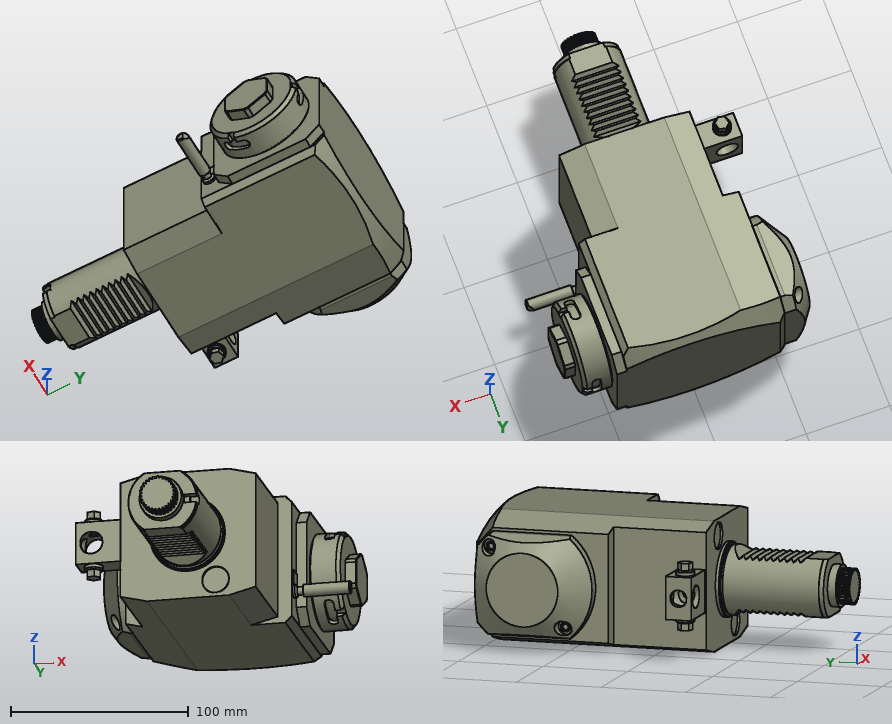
import cadquery as cq
import math


HEIGHT = 75.0
HALF_HEIGHT = HEIGHT / 2
CREST_HALF_WIDTH = 23.8
NECK_HALF_WIDTH = 39.0
NECK_HALF_EDGE = 33.6
SIDE_SLOPE = (HALF_HEIGHT - NECK_HALF_EDGE) / (NECK_HALF_WIDTH - CREST_HALF_WIDTH)
HEAD_LEFT = -48.7
HEAD_RIGHT = 47.2
HEAD_RIGHT_CHAMFER = 3.8
HEAD_FRONT = 54.5
HEAD_BACK = 133.5
BACK_CORNER_CHAMFER = 4.0
BACK_CONE_X = 9.6
BACK_CONE_RADIUS = 127.5
BACK_BEVEL = 3.8
PLUG_X = 15.9
PLUG_Z = 27.5
PLUG_RADIUS = 7.7
PLUG_DEPTH = 1.3

SPINDLE_Y = 99.7
CAP_LEFT = -67.0
CAP_RADIUS = 37.6
CAP_FACE_RADIUS = 21.1
CAP_CONE_START = -55.4
CAP_BACK = 129.5
CAP_HALF_HEIGHT = 29.5
CAP_SLOPE_START = -51.5
CAP_CORNER_CHAMFER = 7.3
CAP_SCREW_OFFSET = 22.0
CAP_SCREW_HOLE_RADIUS = 4.4
CAP_SCREW_HOLE_FLOOR = -54.3
CAP_SCREW_HEAD_RADIUS = 2.7
CAP_SCREW_HEAD_HEIGHT = 1.7
CAP_SOCKET_WIDTH = 4.2

PLATE_SIZE = 67.7
PLATE_RIGHT = 53.0
PLATE_CHAMFER = 8.8
NUT_GAP = 0.6
NUT_RADIUS = 27.5
NUT_GAP_RADIUS = 26.5
NUT_RIGHT = 70.6
NUT_CHAMFER = 2.0
NUT_SLOT_COUNT = 3
NUT_SLOT_FIRST_ANGLE = 29
NUT_SLOT_HALF_ANGLE = 19
NUT_SLOT_X = 62.7
NUT_SLOT_WIDTH = 5.5
NUT_SLOT_DEPTH = 2.5
NUT_NOTCH_WIDTH = 4.4
HEX_RIGHT = 77.1
HEX_ACROSS_FLATS = 27.4
HEX_CORNER_RADIUS = 15.0
HEX_CHAMFER = 0.5

PIN_Y = 60.0
PIN_Z = -17.5
PIN_RIGHT = 80.3
PIN_RADIUS = 3.5
PIN_NECK_RADIUS = 2.3
PIN_BASE_RADIUS = 3.8
PIN_BASE_END = 48.5
PIN_CONE_END = 49.5
PIN_NECK_END = 53.0
PIN_TIP_CHAMFER = 0.6
PIN_TIP_CUT = 2.7
PIN_TAB_THICKNESS = 0.8
PIN_TAB_TOP = -6.3
PIN_TAB_BOTTOM = -14.0
PIN_TAB_LENGTH = 9.6

COLLAR_RADIUS = 21.5
COLLAR_LENGTH = 2.5
COLLAR_CHAMFER = 0.6
RELIEF_RADIUS = 19.5
RELIEF_END = -3.8
SHANK_RADIUS = 20.0
LIP_START = -60.5
LIP_RADIUS = 19.6
SHANK_END = -63.1
BOSS_RADIUS = 12.1
BOSS_END = -68.0
SPLINE_RADIUS = 10.2
SPLINE_ROOT_RADIUS = 9.2
SPLINE_COUNT = 28
SPLINE_TIP_SHARE = 0.4
SPLINE_ROOT_SHARE = 0.8
TOTAL_LENGTH = 209.0
SPLINE_END = HEAD_BACK - TOTAL_LENGTH
SHANK_FLAT_Z = 16.7
TOOTH_ROOT_Z = 14.5
RACK_LENGTH = 36.2
TOOTH_COUNT = 10
TOOTH_PITCH = RACK_LENGTH / (TOOTH_COUNT - 1)
TOOTH_FIRST_Y = -11.5
KEYWAY_WIDTH = 4.8
KEYWAY_DEPTH = 5.2
KEY_WIDTH = 3.5
KEY_OUTER_X = 15.3
KEY_HEIGHT = 3.1

BLOCK_LEFT = -65.0
BLOCK_FRONT = 0.6
BLOCK_BACK = 15.7
BLOCK_HALF_HEIGHT = 12.3
BLOCK_HOLE_X = -56.0
BLOCK_HOLE_RADIUS = 6.5
SIDE_HOLE_RADIUS = 4.8
SIDE_HOLE_FLOOR = -41.8
SIDE_DRILL_RADIUS = 1.9
BOLT_Y = 7.0
BOLT_COLLAR_RADIUS = 5.2
BOLT_COLLAR_HEIGHT = 2.7
BOLT_COLLAR_CHAMFER = 0.8
BOLT_TOP = 19.2
BOLT_HEX_DIAMETER = 8.4
BOLT_HEX_ANGLE = 45
BOLT_TIP_RADIUS = 2.5
BOLT_TIP_Z = 7.0

MARGIN = 10.5


def box(x0, x1, y0, y1, z0, z1):
    """Axis-aligned box between the given limits."""
    return cq.Workplane("XY").box(x1 - x0, y1 - y0, z1 - z0, centered=False).translate((x0, y0, z0))


def prism_along_y(points, y0, y1):
    """Extrude an (x, z) outline from y0 to y1."""
    return cq.Workplane("XZ", origin=(0, y0, 0)).polyline(points).close().extrude(y0 - y1)


def prism_along_x(points, x0, x1):
    """Extrude a (y, z) outline from x0 to x1."""
    return cq.Workplane("YZ", origin=(x0, 0, 0)).polyline(points).close().extrude(x1 - x0)


def cylinder_along_x(radius, x0, x1, y, z):
    return cq.Workplane("YZ", origin=(x0, y, z)).circle(radius).extrude(x1 - x0)


def cylinder_along_y(radius, y0, y1, x=0, z=0):
    return cq.Workplane("XZ", origin=(x, y0, z)).circle(radius).extrude(y0 - y1)


def turned_along_x(profile, y, z):
    """Revolve an (x, radius) profile about the line along X through (y, z)."""
    outline = [(profile[0][0], 0)] + profile + [(profile[-1][0], 0)]
    solid = cq.Workplane("XY").polyline(outline).close().revolve(360, (0, 0, 0), (1, 0, 0))
    return solid.translate((0, y, z))


def with_mirror(points):
    """Close an upper outline with its mirror image below the first coordinate axis."""
    return points + [(a, -b) for a, b in reversed(points)]


def both_z_sides(solid):
    """The solid together with its mirror image below Z = 0."""
    return solid.union(solid.mirror("XY"))


def make_housing():
    neck_half = [
        (-NECK_HALF_WIDTH, NECK_HALF_EDGE),
        (-CREST_HALF_WIDTH, HALF_HEIGHT),
        (CREST_HALF_WIDTH, HALF_HEIGHT),
        (NECK_HALF_WIDTH, NECK_HALF_EDGE),
    ]
    left_half_edge = HALF_HEIGHT - SIDE_SLOPE * (-CREST_HALF_WIDTH - HEAD_LEFT)
    head_half = [
        (HEAD_LEFT, left_half_edge),
        (-CREST_HALF_WIDTH, HALF_HEIGHT),
        (HEAD_RIGHT - HEAD_RIGHT_CHAMFER, HALF_HEIGHT),
        (HEAD_RIGHT, HALF_HEIGHT - HEAD_RIGHT_CHAMFER),
    ]
    neck = prism_along_y(with_mirror(neck_half), 0, HEAD_FRONT)
    head = prism_along_y(with_mirror(head_half), HEAD_FRONT, HEAD_BACK)
    head = head.edges("|Z").edges("<X and >Y").chamfer(BACK_CORNER_CHAMFER)
    for side in (1, -1):
        head = head.intersect(make_back_bevel(side))
    housing = neck.union(head)
    for side in (1, -1):
        plug = cylinder_along_y(PLUG_RADIUS, 0, PLUG_DEPTH, -side * PLUG_X, side * PLUG_Z)
        housing = housing.cut(plug)
    return housing


def make_back_bevel(side):
    """45 degree cone whose surface bevels the back edge of the top (side 1) or bottom (side -1)."""
    bevel_start = HEAD_BACK - BACK_BEVEL
    big_radius = BACK_CONE_RADIUS + bevel_start + MARGIN
    small_radius = BACK_CONE_RADIUS - BACK_BEVEL
    axis_z = side * (HALF_HEIGHT - BACK_CONE_RADIUS)
    profile = [(0, -MARGIN), (big_radius, -MARGIN), (small_radius, HEAD_BACK), (0, HEAD_BACK)]
    cone = cq.Workplane("XY").polyline(profile).close().revolve(360, (0, 0, 0), (0, 1, 0))
    return cone.translate((BACK_CONE_X, 0, axis_z))


def make_cap():
    cone = [
        (CAP_LEFT, CAP_FACE_RADIUS),
        (CAP_CONE_START, CAP_RADIUS),
        (HEAD_LEFT, CAP_RADIUS),
    ]
    cap = turned_along_x(cone, SPINDLE_Y, 0)
    tip_half_height = CAP_HALF_HEIGHT - SIDE_SLOPE * (CAP_SLOPE_START - CAP_LEFT)
    flats = [(CAP_LEFT, tip_half_height), (CAP_SLOPE_START, CAP_HALF_HEIGHT), (HEAD_LEFT, CAP_HALF_HEIGHT)]
    cap = cap.intersect(prism_along_y(with_mirror(flats), HEAD_FRONT, CAP_BACK))
    corners = [
        (HEAD_FRONT, CAP_HALF_HEIGHT),
        (CAP_BACK - CAP_CORNER_CHAMFER, CAP_HALF_HEIGHT),
        (CAP_BACK, CAP_HALF_HEIGHT - CAP_CORNER_CHAMFER),
    ]
    cap = cap.intersect(prism_along_x(with_mirror(corners), CAP_LEFT, HEAD_LEFT))
    head_top = CAP_SCREW_HOLE_FLOOR - CAP_SCREW_HEAD_HEIGHT
    for side in (1, -1):
        y = SPINDLE_Y + side * CAP_SCREW_OFFSET
        z = side * CAP_SCREW_OFFSET
        hole = cylinder_along_x(CAP_SCREW_HOLE_RADIUS, CAP_LEFT, CAP_SCREW_HOLE_FLOOR, y, z)
        screw = cylinder_along_x(CAP_SCREW_HEAD_RADIUS, head_top, CAP_SCREW_HOLE_FLOOR, y, z)
        socket = cq.Workplane("YZ", origin=(head_top, y, z)).polygon(6, CAP_SOCKET_WIDTH)
        cap = cap.cut(hole).union(screw.cut(socket.extrude(CAP_SCREW_HEAD_HEIGHT)))
    return cap


def make_flange_plate():
    back = HEAD_BACK - PLATE_SIZE
    half = PLATE_SIZE / 2
    plate = box(HEAD_RIGHT, PLATE_RIGHT, back, HEAD_BACK, -half, half)
    return plate.edges("|X").chamfer(PLATE_CHAMFER)


def make_nut():
    nut_left = PLATE_RIGHT + NUT_GAP
    profile = [
        (PLATE_RIGHT, NUT_GAP_RADIUS),
        (nut_left, NUT_GAP_RADIUS),
        (nut_left, NUT_RADIUS),
        (NUT_RIGHT - NUT_CHAMFER, NUT_RADIUS),
        (NUT_RIGHT, NUT_RADIUS - NUT_CHAMFER),
    ]
    nut = turned_along_x(profile, 0, 0)
    slot = make_nut_slot()
    for index in range(NUT_SLOT_COUNT):
        angle = NUT_SLOT_FIRST_ANGLE + index * 360 / NUT_SLOT_COUNT
        nut = nut.cut(slot.rotate((0, 0, 0), (1, 0, 0), angle))
    return nut.translate((0, SPINDLE_Y, 0))


def make_nut_slot():
    """Round-ended spanner slot around the nut, centred on +Z, with a notch to the end face."""
    floor_radius = NUT_RADIUS - NUT_SLOT_DEPTH
    half_width = NUT_SLOT_WIDTH / 2
    cap_angle = math.degrees(half_width / NUT_RADIUS)
    end_angle = NUT_SLOT_HALF_ANGLE - cap_angle
    ring = (
        cq.Workplane("XY")
        .moveTo(NUT_SLOT_X, (floor_radius + NUT_RADIUS + MARGIN) / 2)
        .rect(NUT_SLOT_WIDTH, NUT_RADIUS + MARGIN - floor_radius)
        .revolve(2 * end_angle, (0, 0, 0), (1, 0, 0))
        .rotate((0, 0, 0), (1, 0, 0), 90 - end_angle)
    )
    end = cq.Workplane("XY", origin=(NUT_SLOT_X, 0, floor_radius)).circle(half_width).extrude(MARGIN)
    notch_half = NUT_NOTCH_WIDTH / 2
    notch = box(NUT_SLOT_X, NUT_RIGHT, -notch_half, notch_half, floor_radius, NUT_RADIUS + MARGIN)
    slot = ring.union(notch)
    for side in (1, -1):
        slot = slot.union(end.rotate((0, 0, 0), (1, 0, 0), side * end_angle))
    return slot


def make_hexagon():
    across_corners = HEX_ACROSS_FLATS / math.cos(math.pi / 6)
    hexagon = (
        cq.Workplane("YZ", origin=(NUT_RIGHT, 0, 0))
        .polygon(6, across_corners)
        .extrude(HEX_RIGHT - NUT_RIGHT)
        .rotate((0, 0, 0), (1, 0, 0), 90)
    )
    hexagon = hexagon.intersect(cylinder_along_x(HEX_CORNER_RADIUS, NUT_RIGHT, HEX_RIGHT, 0, 0))
    return hexagon.faces(">X").chamfer(HEX_CHAMFER).translate((0, SPINDLE_Y, 0))


def make_pin():
    profile = [
        (HEAD_RIGHT, PIN_BASE_RADIUS),
        (PIN_BASE_END, PIN_BASE_RADIUS),
        (PIN_CONE_END, PIN_NECK_RADIUS),
        (PIN_NECK_END, PIN_NECK_RADIUS),
        (PIN_NECK_END, PIN_RADIUS),
        (PIN_RIGHT - PIN_TIP_CHAMFER, PIN_RADIUS),
        (PIN_RIGHT, PIN_RADIUS - PIN_TIP_CHAMFER),
    ]
    pin = turned_along_x(profile, PIN_Y, PIN_Z)
    pin_back = PIN_Y + PIN_RADIUS
    tip = [(PIN_RIGHT, pin_back), (PIN_RIGHT - PIN_TIP_CUT, pin_back), (PIN_RIGHT, pin_back - PIN_TIP_CUT)]
    tip_cut = cq.Workplane("XY").polyline(tip).close().extrude(PIN_RADIUS * 2, both=True)
    pin = pin.cut(tip_cut.translate((0, 0, PIN_Z)))
    tab = box(
        HEAD_RIGHT, HEAD_RIGHT + PIN_TAB_THICKNESS,
        PIN_Y - PIN_TAB_LENGTH / 2, PIN_Y + PIN_TAB_LENGTH / 2,
        PIN_TAB_BOTTOM, PIN_TAB_TOP,
    )
    return pin.union(tab)


def make_shank():
    profile = [
        (0, 0),
        (COLLAR_RADIUS, 0),
        (COLLAR_RADIUS, COLLAR_CHAMFER - COLLAR_LENGTH),
        (COLLAR_RADIUS - COLLAR_CHAMFER, -COLLAR_LENGTH),
        (RELIEF_RADIUS, -COLLAR_LENGTH),
        (SHANK_RADIUS, RELIEF_END),
        (SHANK_RADIUS, LIP_START),
        (LIP_RADIUS, LIP_START),
        (LIP_RADIUS, SHANK_END),
        (BOSS_RADIUS, SHANK_END),
        (BOSS_RADIUS, BOSS_END),
        (0, BOSS_END),
    ]
    shank = cq.Workplane("XY").polyline(profile).close().revolve(360, (0, 0, 0), (0, 1, 0))
    shank = shank.cut(both_z_sides(make_rack_cut()))
    half = KEYWAY_WIDTH / 2
    keyway = box(BOSS_RADIUS, SHANK_RADIUS, SHANK_END, SHANK_END + KEYWAY_DEPTH, -half, half)
    half = KEY_WIDTH / 2
    floor = SHANK_END + KEYWAY_DEPTH
    key = box(BOSS_RADIUS, KEY_OUTER_X, floor - KEY_HEIGHT, floor, -half, half)
    return shank.cut(keyway).union(key).union(make_spline())


def make_rack_cut():
    """Material removed above the toothed rack and the flat on the top of the shank."""
    top_z = SHANK_RADIUS + MARGIN
    crest_z = TOOTH_ROOT_Z + TOOTH_PITCH / 2
    points = [(TOOTH_FIRST_Y + top_z - TOOTH_ROOT_Z, top_z), (TOOTH_FIRST_Y, TOOTH_ROOT_Z)]
    for index in range(1, TOOTH_COUNT):
        root_y = TOOTH_FIRST_Y - index * TOOTH_PITCH
        points.append((root_y + TOOTH_PITCH / 2, crest_z))
        points.append((root_y, TOOTH_ROOT_Z))
    last_root_y = points[-1][0]
    points.append((last_root_y - (SHANK_FLAT_Z - TOOTH_ROOT_Z), SHANK_FLAT_Z))
    points.append((SHANK_END, SHANK_FLAT_Z))
    points.append((SHANK_END, top_z))
    return prism_along_x(points, -SHANK_RADIUS, SHANK_RADIUS)


def make_spline():
    pitch = 2 * math.pi / SPLINE_COUNT
    tooth = [
        (SPLINE_ROOT_RADIUS, -SPLINE_ROOT_SHARE / 2),
        (SPLINE_RADIUS, -SPLINE_TIP_SHARE / 2),
        (SPLINE_RADIUS, SPLINE_TIP_SHARE / 2),
        (SPLINE_ROOT_RADIUS, SPLINE_ROOT_SHARE / 2),
    ]
    points = []
    for index in range(SPLINE_COUNT):
        for radius, share in tooth:
            angle = (index + share) * pitch
            points.append((radius * math.cos(angle), radius * math.sin(angle)))
    return prism_along_y(points, SPLINE_END, BOSS_END)


def make_coolant_block():
    block = box(
        BLOCK_LEFT, -NECK_HALF_WIDTH, BLOCK_FRONT, BLOCK_BACK, -BLOCK_HALF_HEIGHT, BLOCK_HALF_HEIGHT
    )
    centre_y = (BLOCK_FRONT + BLOCK_BACK) / 2
    block = block.cut(cylinder_along_y(BLOCK_HOLE_RADIUS, BLOCK_FRONT, BLOCK_BACK, BLOCK_HOLE_X))
    block = block.cut(cylinder_along_x(SIDE_HOLE_RADIUS, BLOCK_LEFT, SIDE_HOLE_FLOOR, centre_y, 0))
    block = block.cut(cylinder_along_x(SIDE_DRILL_RADIUS, SIDE_HOLE_FLOOR, -NECK_HALF_WIDTH, centre_y, 0))
    tip_hole = cq.Workplane("XY", origin=(BLOCK_HOLE_X, BOLT_Y, 0)).circle(BOLT_TIP_RADIUS)
    block = block.cut(tip_hole.extrude(BOLT_TIP_Z, both=True))
    bolt = (
        cq.Workplane("XY", origin=(BLOCK_HOLE_X, BOLT_Y, BLOCK_HALF_HEIGHT))
        .circle(BOLT_COLLAR_RADIUS)
        .extrude(BOLT_COLLAR_HEIGHT)
        .faces(">Z")
        .chamfer(BOLT_COLLAR_CHAMFER)
        .faces(">Z")
        .workplane()
        .transformed(rotate=(0, 0, BOLT_HEX_ANGLE))
        .polygon(6, BOLT_HEX_DIAMETER)
        .extrude(BOLT_TOP - BLOCK_HALF_HEIGHT - BOLT_COLLAR_HEIGHT)
    )
    return block.union(both_z_sides(bolt))


result = make_housing()
for component in (
    make_cap(),
    make_flange_plate(),
    make_nut(),
    make_hexagon(),
    make_pin(),
    make_shank(),
    make_coolant_block(),
):
    result = result.union(component)